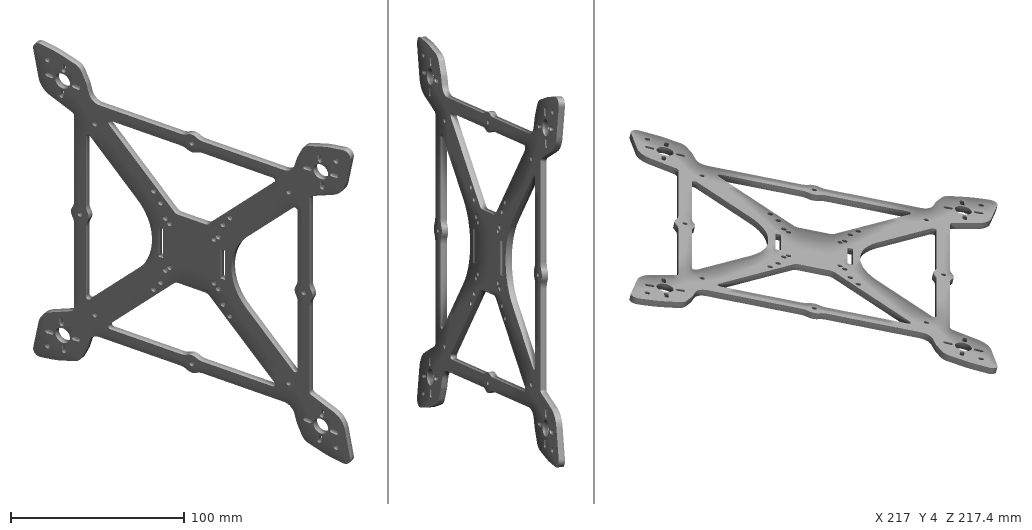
import cadquery as cq
import math

thickness = 4.0

rail_outer = 80.5
rail_inner = 72.5

tab_radius = 6.0
tab_blend_radius = 8.7
tab_center = 76.5

arm_half_offset = 12.8
hub_half_height = 23.7
hub_corner_radius = 4.4
waist_radius = 34.5
window_corner_radius = 1.7

motor_center = 88.3
motor_bore_diameter = 10.0
motor_slot_radius = 9.1
motor_slot_length = 5.7
motor_slot_width = 2.6
motor_slot_tilt = 5.0

small_hole_diameter = 3.0
large_hole_diameter = 3.3
small_hole_positions = [(66.3, 66.3), (15.2, 15.2)]
large_hole_positions = [(98.8, 99.5), (26.0, 34.2), (21.3, 27.6), (18.0, 18.0)]

strap_slot_outer = 22.8
strap_slot_width = 3.3
strap_slot_center = strap_slot_outer - strap_slot_width / 2
strap_slot_length = 20.2

pad_overlap = 13.0
pad_corners = [
    (rail_inner, rail_inner, 0),
    (rail_inner - pad_overlap, rail_inner, 0),
    (rail_inner - pad_overlap, rail_outer, 0),
    (68.7, rail_outer, 7.6),
    (72.0, 92.2, 10.9),
    (76.8, 102.2, 7.6),
    (92.5, 107.0, 43.5),
    (109.6, 109.6, 4.4),
    (103.5, 78.0, 13.0),
    (rail_outer, 68.5, 2.2),
    (rail_outer, rail_inner - pad_overlap, 0),
    (rail_inner, rail_inner - pad_overlap, 0),
]

signs = (1, -1)


def plate_plane():
    """Workplane with local x along +X and local y along +Z, on the +Y face; extrusions run toward -Y."""
    return cq.Workplane("XZ", origin=(0, thickness / 2, 0))


def midpoint(start, end):
    return tuple((s + e) / 2 for s, e in zip(start, end))


def step_towards(start, end, distance):
    """The point at the given distance from start on the way to end."""
    length = math.dist(start, end)
    return tuple(s + (e - s) * distance / length for s, e in zip(start, end))


def rounded_outline(corners):
    """Closed outline through the corners, each rounded by its own radius."""
    count = len(corners)
    sketch = plate_plane()
    for i in range(count):
        x, z, radius = corners[i]
        corner = (x, z)
        before = corners[i - 1][:2]
        after = corners[(i + 1) % count][:2]
        angle_before = math.atan2(before[1] - z, before[0] - x)
        angle_after = math.atan2(after[1] - z, after[0] - x)
        half_angle = abs(math.remainder(angle_after - angle_before, 2 * math.pi)) / 2
        trim = radius / math.tan(half_angle)
        arc_start = step_towards(corner, before, trim)
        arc_end = step_towards(corner, after, trim)
        sketch = sketch.moveTo(*arc_start) if i == 0 else sketch.lineTo(*arc_start)
        if radius > 0:
            arc_depth = radius / math.sin(half_angle) - radius
            arc_middle = step_towards(corner, midpoint(arc_start, arc_end), arc_depth)
            sketch = sketch.threePointArc(arc_middle, arc_end)
    return sketch.close().extrude(thickness)


def mirrored(points):
    """The points with their mirror images in all four quadrants."""
    return [(sx * x, sz * z) for x, z in points for sx in signs for sz in signs]


def four_way(solid):
    """The solid with its mirror images in all four quadrants."""
    pair = solid.union(solid.mirror("YZ"))
    return pair.union(pair.mirror("XY"))


def side_window():
    tip = rail_inner - arm_half_offset
    return rounded_outline([
        (arm_half_offset, 0, waist_radius),
        (rail_inner, tip, window_corner_radius),
        (rail_inner, -tip, window_corner_radius),
    ])


def upper_window():
    tip = rail_inner - arm_half_offset
    foot = hub_half_height - arm_half_offset
    return rounded_outline([
        (-foot, hub_half_height, hub_corner_radius),
        (-tip, rail_inner, window_corner_radius),
        (tip, rail_inner, window_corner_radius),
        (foot, hub_half_height, hub_corner_radius),
    ])


def rail_tab():
    """Round tab on the upper rail, blended into both rail edges by concave arcs."""
    def flank(edge, direction):
        """Start, middle and tab-side end of the +X blend; direction is +1 upward, -1 downward."""
        blend_rise = direction * (edge - tab_center) + tab_blend_radius
        reach = math.sqrt((tab_radius + tab_blend_radius) ** 2 - blend_rise ** 2)
        blend_center = (reach, edge + direction * tab_blend_radius)
        touch = step_towards((0, tab_center), blend_center, tab_radius)
        rail_end = (reach, edge)
        middle = step_towards(blend_center, midpoint(rail_end, touch), tab_blend_radius)
        return rail_end, middle, touch

    def flip(point):
        return (-point[0], point[1])

    top_end, top_middle, top_touch = flank(rail_outer, 1)
    low_end, low_middle, low_touch = flank(rail_inner, -1)
    return (
        plate_plane()
        .moveTo(*top_end)
        .threePointArc(top_middle, top_touch)
        .threePointArc((0, tab_center + tab_radius), flip(top_touch))
        .threePointArc(flip(top_middle), flip(top_end))
        .lineTo(*flip(low_end))
        .threePointArc(flip(low_middle), flip(low_touch))
        .threePointArc((0, tab_center - tab_radius), low_touch)
        .threePointArc(low_middle, low_end)
        .close()
        .extrude(thickness)
    )


def round_holes(points, diameter):
    return plate_plane().pushPoints(points).circle(diameter / 2).extrude(thickness)


def motor_slots():
    """Four slots pointing at the motor axis of the +X +Z quadrant."""
    slots = cq.Workplane("XZ")
    for quarter in range(4):
        heading = quarter * 90 + motor_slot_tilt
        x = motor_center + motor_slot_radius * math.cos(math.radians(heading))
        z = motor_center + motor_slot_radius * math.sin(math.radians(heading))
        slot = plate_plane().center(x, z).slot2D(motor_slot_length, motor_slot_width, heading)
        slots = slots.add(slot.extrude(thickness))
    return slots.combine()


def strap_slots():
    centers = [(side * strap_slot_center, 0) for side in signs]
    return plate_plane().pushPoints(centers).rect(strap_slot_width, strap_slot_length).extrude(thickness)


result = plate_plane().rect(2 * rail_outer, 2 * rail_outer).extrude(thickness)
result = result.union(four_way(rounded_outline(pad_corners)))
for window in (side_window(), upper_window()):
    result = result.cut(four_way(window))
for angle in (0, 90, 180, 270):
    result = result.union(rail_tab().rotate((0, 0, 0), (0, 1, 0), angle))

tab_holes = [(side * tab_center, 0) for side in signs] + [(0, side * tab_center) for side in signs]
result = result.cut(round_holes(mirrored([(motor_center, motor_center)]), motor_bore_diameter))
result = result.cut(round_holes(mirrored(small_hole_positions) + tab_holes, small_hole_diameter))
result = result.cut(round_holes(mirrored(large_hole_positions), large_hole_diameter))
result = result.cut(four_way(motor_slots()))
result = result.cut(strap_slots())